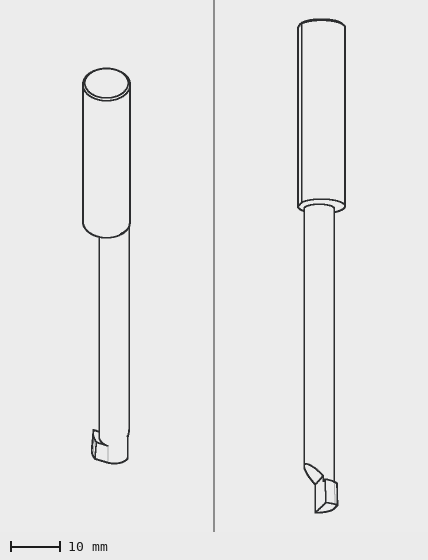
import cadquery as cq
import math

total_length = 101.59
shank_diameter = 9.53
shank_length = 38.1
shank_flat_y = 4.505
shank_chamfer = 0.4
neck_diameter = 6.1

flat_length = 6.25
flat_slope_angle = 45.0

head_height = 5.08
tip_reach = 3.25
heel_x, heel_y = -2.05, -2.2
relief_bulge = 0.12
shoulder_x = -1.15
side_taper = 0.35
end_relief_x_angle = 2.0
end_relief_y_angle = 5.0

shank_radius = shank_diameter / 2
neck_radius = neck_diameter / 2
neck_x = shank_radius - neck_radius
shank_bottom = total_length - shank_length


def make_shank():
    shank = (
        cq.Workplane("XY", origin=(0, 0, shank_bottom))
        .circle(shank_radius)
        .extrude(shank_length)
        .faces(">Z")
        .chamfer(shank_chamfer)
    )
    beyond_flat = cq.Workplane("XY").box(
        shank_diameter, shank_diameter, total_length, centered=(True, False, False)
    )
    return shank.cut(beyond_flat.translate((0, shank_flat_y, 0)))


def make_neck():
    neck = cq.Workplane("XY").center(neck_x, 0).circle(neck_radius).extrude(shank_bottom)
    slope_rise = neck_diameter * math.tan(math.radians(flat_slope_angle))
    removed_half = (
        cq.Workplane("YZ")
        .polyline([
            (0, 0),
            (0, flat_length),
            (neck_diameter, flat_length + slope_rise),
            (neck_diameter, 0),
        ])
        .close()
        .extrude(shank_diameter, both=True)
    )
    return neck.cut(removed_half)


def draw_head_outline(workplane, inset):
    """Draw the closed head section, with its cutting side moved toward +X by inset."""
    tip_x = -tip_reach
    chord_length = math.hypot(heel_x - tip_x, heel_y)
    bulge_x = (tip_x + heel_x) / 2 + relief_bulge * heel_y / chord_length
    bulge_y = heel_y / 2 - relief_bulge * (heel_x - tip_x) / chord_length
    return (
        workplane.moveTo(tip_x + inset, 0)
        .threePointArc((bulge_x + inset, bulge_y), (heel_x + inset, heel_y))
        .lineTo(shoulder_x + inset, -neck_radius)
        .lineTo(neck_x, -neck_radius)
        .lineTo(neck_x, 0)
        .close()
    )


def make_head():
    lower = draw_head_outline(cq.Workplane("XY"), 0)
    sections = draw_head_outline(lower.workplane(offset=head_height, origin=(0, 0, 0)), side_taper)
    return sections.loft(ruled=True)


def make_end_relief():
    """Block under the end face, which tilts up from the cutting point in +X and -Y."""
    block_size = 4 * shank_diameter
    block = cq.Workplane("XY").box(
        block_size, block_size, block_size, centered=(True, True, False)
    ).translate((0, 0, -block_size))
    block = block.rotate((0, 0, 0), (0, 1, 0), -end_relief_x_angle)
    block = block.rotate((0, 0, 0), (1, 0, 0), -end_relief_y_angle)
    return block.translate((-tip_reach, 0, 0))


result = make_shank().union(make_neck()).union(make_head()).cut(make_end_relief())